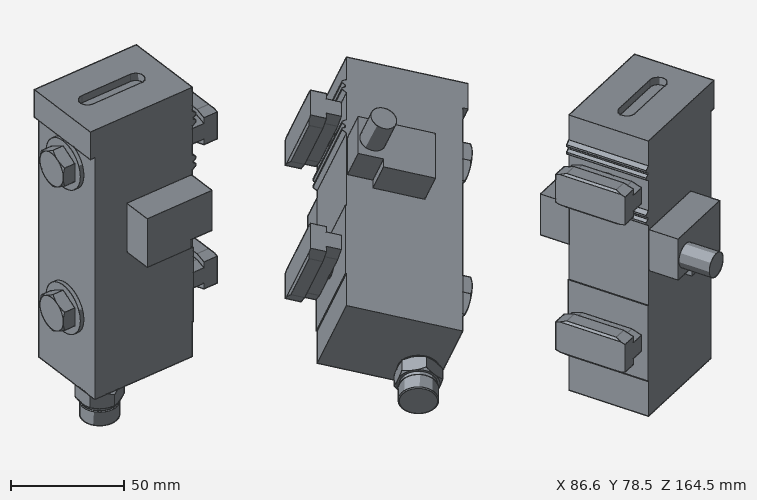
import cadquery as cq
import math


block_width = 41.0
block_depth = 54.3
block_height = 145.9
lip_height = 15.0
lip_overhang = 2.5

slot_width = 8.0
slot_length = 34.9
slot_depth = 4.0
slot_center_y = 25.0

bar_overhang = 15.0
bar_front_y = 17.8
bar_back_y = 53.8
bar_bottom_z = 72.4
bar_height = 26.3
bar_step_y = 42.0
bar_step_height = 4.6
rod_diameter = 12.0
rod_length = 15.6
rod_y = 47.0
rod_z = 86.5

lower_bolt_z = 38.8
bolt_spacing = 78.1
washer_diameter = 25.0
washer_thickness = 2.0
bolt_head_flats = 17.0
bolt_head_thickness = 6.4
bolt_diameter = 10.0
nut_length = 35.7
nut_shank_gap = 1.5
nut_shank_depth = 6.9
nut_shank_height = 11.7
nut_head_depth = 7.4
nut_head_height = 18.0
nut_edge_chamfer = 1.0
nut_bevel_length = 5.1
nut_bevel_height = 1.6

tooth_pitch = 4.0
tooth_height = 2.0
tooth_tip = 1.0
tooth_valley_height = 0.5
tooth_valley_width = 0.8
tooth_group_offset = 11.8
pad_height = 40.1
pad_thickness = 0.5

fitting_x = 10.2
fitting_y = 10.5
fitting_length = 18.6
fitting_hex_flats = 19.0
fitting_hex_height = 7.9
fitting_collar_height = 0.7
fitting_neck_diameter = 17.1
fitting_neck_length = 1.8
fitting_thread_diameter = 18.0
fitting_thread_chamfer = 0.5

upper_bolt_z = lower_bolt_z + bolt_spacing
hex_chamfer_angle = math.radians(30)


def cylinder_y(diameter, start_y, end_y, z):
    """Round bar along Y at the middle of the block width."""
    disc = cq.Workplane("XZ", origin=(0, start_y, z)).circle(diameter / 2)
    return disc.extrude(start_y - end_y)


def hexagon(flats, height, chamfered_ends):
    """Upright hexagon with corners on the X axis and corners turned off at the selected ends."""
    corner_diameter = flats / math.cos(math.pi / 6)
    chamfer_radial = (corner_diameter - flats) / 2
    chamfer_axial = chamfer_radial * math.tan(hex_chamfer_angle)
    prism = cq.Workplane("XY").polygon(6, corner_diameter).extrude(height)
    envelope = cq.Workplane("XY").circle(corner_diameter / 2).extrude(height)
    for end in chamfered_ends:
        edge = envelope.faces(end).edges()
        envelope = edge.chamfer(chamfer_axial, chamfer_radial)
    return prism.intersect(envelope)


def make_block():
    profile = [
        (0, 0),
        (block_depth, 0),
        (block_depth, block_height),
        (-lip_overhang, block_height),
        (-lip_overhang, block_height - lip_height),
        (0, block_height - lip_height),
    ]
    block = cq.Workplane("YZ").polyline(profile).close().extrude(block_width / 2, both=True)
    slot = (
        cq.Workplane("XY", origin=(0, slot_center_y, block_height))
        .slot2D(slot_length, slot_width, 90)
        .extrude(-slot_depth)
    )
    return block.cut(slot)


def make_cross_bar():
    bar_top_z = bar_bottom_z + bar_height
    bar_step_z = bar_bottom_z + bar_step_height
    bar_end_x = block_width / 2 + bar_overhang
    profile = [
        (bar_front_y, bar_bottom_z),
        (bar_step_y, bar_bottom_z),
        (bar_step_y, bar_step_z),
        (bar_back_y, bar_step_z),
        (bar_back_y, bar_top_z),
        (bar_front_y, bar_top_z),
    ]
    bar = cq.Workplane("YZ").polyline(profile).close().extrude(bar_end_x, both=True)
    rod = (
        cq.Workplane("YZ", origin=(-bar_end_x, rod_y, rod_z))
        .circle(rod_diameter / 2)
        .extrude(-rod_length)
    )
    return bar.union(rod)


def beveled_bar(height, start_y, end_y):
    """Bar along X whose four corners, seen along Y, are cut by shallow bevels."""
    half_length = nut_length / 2
    half_height = height / 2
    flat_x = half_length - nut_bevel_length
    flat_z = half_height - nut_bevel_height
    outline = [
        (half_length, flat_z),
        (flat_x, half_height),
        (-flat_x, half_height),
        (-half_length, flat_z),
        (-half_length, -flat_z),
        (-flat_x, -half_height),
        (flat_x, -half_height),
        (half_length, -flat_z),
    ]
    plane = cq.Workplane("XZ", origin=(0, start_y, 0))
    return plane.polyline(outline).close().extrude(start_y - end_y)


def make_t_nut():
    """T-nut centred on Z = 0 behind the block."""
    shank_y = block_depth + nut_shank_gap
    head_y = shank_y + nut_shank_depth
    back_y = head_y + nut_head_depth
    edge_limit = (
        cq.Workplane("XY")
        .box(nut_length, nut_head_depth, nut_head_height)
        .edges(">Y and |X")
        .chamfer(nut_edge_chamfer)
        .translate((0, head_y + nut_head_depth / 2, 0))
    )
    head = beveled_bar(nut_head_height, head_y, back_y).intersect(edge_limit)
    return head.union(beveled_bar(nut_shank_height, shank_y, head_y))


def make_bolt(z):
    washer = cylinder_y(washer_diameter, 0, -washer_thickness, z)
    head = (
        hexagon(bolt_head_flats, bolt_head_thickness, [">Z"])
        .rotate((0, 0, 0), (0, 0, 1), 90)
        .rotate((0, 0, 0), (1, 0, 0), 90)
        .translate((0, -washer_thickness, z))
    )
    shank_end_y = block_depth + nut_shank_gap + nut_shank_depth
    shank = cylinder_y(bolt_diameter, 0, shank_end_y, z)
    return washer.union(head).union(shank).union(make_t_nut().translate((0, 0, z)))


def make_tooth_pair(z):
    """Two blunt teeth across the back face, centred on the given height."""
    half_tip = tooth_tip / 2
    half_valley = tooth_valley_width / 2
    tip_z = tooth_pitch / 2
    tip_y = block_depth + tooth_height
    valley_y = block_depth + tooth_valley_height
    upper_half = [
        (valley_y, half_valley),
        (tip_y, tip_z - half_tip),
        (tip_y, tip_z + half_tip),
        (block_depth, tooth_pitch),
    ]
    lower_half = [(y, -tooth_z) for y, tooth_z in reversed(upper_half)]
    plane = cq.Workplane("YZ", origin=(0, 0, z))
    return plane.polyline(lower_half + upper_half).close().extrude(block_width / 2, both=True)


def make_pad():
    pad = cq.Workplane("XY").box(block_width, pad_thickness, pad_height)
    return pad.translate((0, block_depth + pad_thickness / 2, lower_bolt_z))


def make_fitting():
    neck_z = -fitting_collar_height - fitting_hex_height
    thread_z = neck_z - fitting_neck_length
    hex_body = hexagon(fitting_hex_flats, fitting_hex_height, [">Z", "<Z"]).translate((0, 0, neck_z))
    collar = cq.Workplane("XY").circle(fitting_hex_flats / 2).extrude(-fitting_collar_height)
    neck = cq.Workplane("XY", origin=(0, 0, neck_z)).circle(fitting_neck_diameter / 2)
    thread = cq.Workplane("XY", origin=(0, 0, thread_z)).circle(fitting_thread_diameter / 2)
    thread = thread.extrude(-(fitting_length + thread_z)).edges().chamfer(fitting_thread_chamfer)
    fitting = hex_body.union(collar).union(neck.extrude(-fitting_neck_length)).union(thread)
    return fitting.translate((fitting_x, fitting_y, 0))


result = make_block().union(make_cross_bar()).union(make_pad()).union(make_fitting())
for bolt_z in (lower_bolt_z, upper_bolt_z):
    result = result.union(make_bolt(bolt_z))
for side in (-1, 1):
    result = result.union(make_tooth_pair(upper_bolt_z + side * tooth_group_offset))